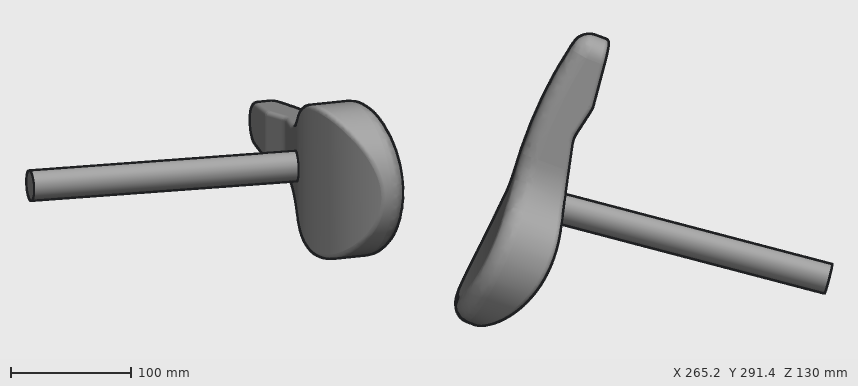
import cadquery as cq
import math

shaft_radius = 12.8
shaft_tilt = 17.8
shaft_end = (72.5, -287.5)
shaft_length = 239.2

outline_tilt = 12
tip_center = 24.5
tip_radius = 19.0
disc_center = 206.2
disc_radius = 65.0
neck_u = 116.7
neck_half_width = 26.0

left_limit = -23.3
right_limit = 285.8
back_crown_x = 17.5
back_convex_radius = 396.7
back_bend_x = 137
back_concave_radius = 370.5
front_tip = (left_limit, -16.5)
grip_start = (53.7, -41.7)
grip_end = (83.5, -41.7)
palm_start = (146.7, -71.0)
palm_radius = 119.5
grip_start_round = 13.0
grip_end_round = 23.3

back_fillet = 14.5
front_fillet = 4.0

head_depth = 233.3
half_height = 87.5


def along(start, distance, angle):
    """Point at a distance from start, in a direction given in radians."""
    return (start[0] + distance * math.cos(angle), start[1] + distance * math.sin(angle))


def mirrored(point):
    return (point[0], -point[1])


def round_corner(profile, corner, radius):
    """Fillet the Z-parallel edge of the profile nearest to an XY corner."""
    nearest = cq.selectors.NearestToPointSelector((*corner, 0))
    return profile.edges("|Z").edges(nearest).fillet(radius)


def make_profile():
    """Side profile of the head, extruded symmetrically along Z."""
    bend_angle = math.asin((back_bend_x - back_crown_x) / back_convex_radius)
    bend = (back_bend_x, -back_convex_radius * (1 - math.cos(bend_angle)))
    left_angle = math.asin((left_limit - back_crown_x) / back_convex_radius)
    back_left = (left_limit, -back_convex_radius * (1 - math.cos(left_angle)))
    concave_center = along(bend, back_concave_radius, math.pi / 2 - bend_angle)
    right_angle = math.asin((right_limit - concave_center[0]) / back_concave_radius)
    back_right = along(concave_center, back_concave_radius, right_angle - math.pi / 2)
    middle_angle = (bend_angle - right_angle) / 2
    back_middle = along(concave_center, back_concave_radius, -math.pi / 2 - middle_angle)
    palm_slope = math.atan2(palm_start[1] - grip_end[1], palm_start[0] - grip_end[0])
    palm_center = along(palm_start, palm_radius, palm_slope + math.pi / 2)
    palm_end_angle = math.asin((right_limit - palm_center[0]) / palm_radius) - math.pi / 2
    palm_end = along(palm_center, palm_radius, palm_end_angle)
    profile = (
        cq.Workplane("XY")
        .moveTo(*front_tip)
        .lineTo(*grip_start)
        .lineTo(*grip_end)
        .lineTo(*palm_start)
        .tangentArcPoint(palm_end, relative=False)
        .lineTo(*back_right)
        .threePointArc(back_middle, bend)
        .threePointArc((back_crown_x, 0), back_left)
        .close()
        .extrude(half_height, both=True)
    )
    profile = round_corner(profile, grip_start, grip_start_round)
    return round_corner(profile, grip_end, grip_end_round)


def make_outline():
    """Rounded handle blending through a neck into a disc."""
    neck = (neck_u, neck_half_width)
    reach = math.hypot(neck_u - tip_center, neck_half_width)
    slope = math.atan2(neck_half_width, neck_u - tip_center) - math.asin(tip_radius / reach)
    tip_edge = along((tip_center, 0), tip_radius, slope + math.pi / 2)
    du = neck_u - disc_center
    across = -du * math.sin(slope) + neck_half_width * math.cos(slope)
    neck_radius = (du**2 + neck_half_width**2 - disc_radius**2) / (2 * (disc_radius - across))
    neck_center = along(neck, neck_radius, slope + math.pi / 2)
    to_disc = math.atan2(-neck_center[1], disc_center - neck_center[0])
    disc_edge = along(neck_center, neck_radius, to_disc)
    neck_middle = along(neck_center, neck_radius, (slope - math.pi / 2 + to_disc) / 2)
    tilt = math.radians(outline_tilt)
    plane = cq.Plane(
        origin=(0, 0, 0),
        xDir=(math.cos(tilt), -math.sin(tilt), 0),
        normal=(-math.sin(tilt), -math.cos(tilt), 0),
    )
    return (
        cq.Workplane(plane)
        .moveTo(*tip_edge)
        .lineTo(*neck)
        .threePointArc(neck_middle, disc_edge)
        .threePointArc((disc_center + disc_radius, 0), mirrored(disc_edge))
        .threePointArc(mirrored(neck_middle), mirrored(neck))
        .lineTo(*mirrored(tip_edge))
        .threePointArc((tip_center - tip_radius, 0), tip_edge)
        .close()
        .extrude(head_depth / 2, both=True)
    )


def make_head():
    head = make_profile().intersect(make_outline())
    head = head.faces(">Y").edges("not |Z").fillet(back_fillet)
    return head.faces("<Y").edges("not |Z").fillet(front_fillet)


def make_shaft():
    tilt = math.radians(shaft_tilt)
    plane = cq.Plane(
        origin=(*shaft_end, 0), xDir=(0, 0, 1), normal=(math.sin(tilt), math.cos(tilt), 0)
    )
    return cq.Workplane(plane).circle(shaft_radius).extrude(shaft_length)


result = make_head().union(make_shaft())